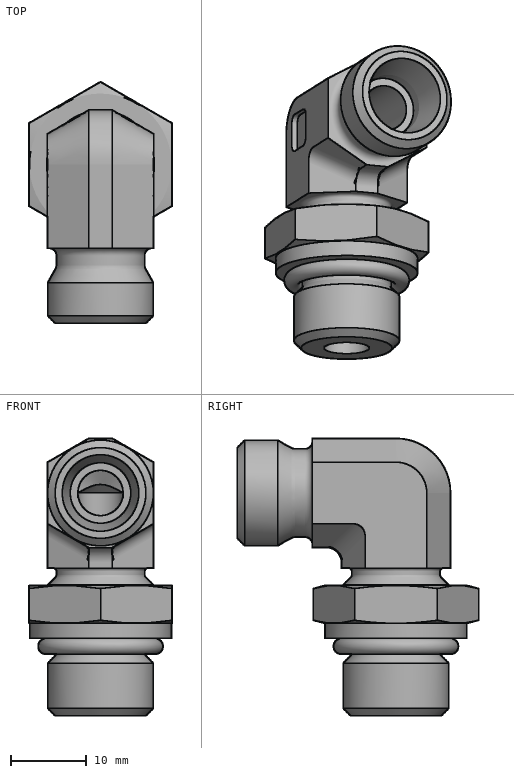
import cadquery as cq
import math


DEPTH_TOLERANCE = 0.05

BLOCK_HALF_WIDTH = 7.0
BLOCK_HALF_HEIGHT = 7.25
RIDGE_HALF_WIDTH = 1.55
RIDGE_SLOPE = math.radians(30)
FLANK_HALF_HEIGHT = BLOCK_HALF_HEIGHT - (BLOCK_HALF_WIDTH - RIDGE_HALF_WIDTH) * math.tan(RIDGE_SLOPE)
ARM_LENGTH = 11.1
LEG_LENGTH = 9.95
CROTCH_FILLET = 1.9

BADGE_SIZE = 5.0
BADGE_CENTRE = -0.5
BADGE_CORNER = 1.0
BADGE_DEPTH = 0.77

THREAD_RADIUS = 14.0 / 2
NECK_RADIUS = 11.7 / 2
END_CHAMFER = 1.0

OUTLET_ROOT_FILLET = 0.9
OUTLET_CONE_START = 13.6
OUTLET_CONE_END = 15.6
OUTLET_NECK_BLEND = 1.0
OUTLET_END = 21.0

GROOVE_RADIUS = 11.8 / 2
STUD_ROOT_FILLET = 0.4
STUD_CONE_START = 11.0
STUD_NECK_BLEND = 0.35
STUD_THREAD_START = 22.5
STUD_END = 29.5

BORE_RADIUS = 6.0 / 2
DRILL_HALF_ANGLE = math.radians(59)
TUBE_RADIUS = 8.0 / 2
TUBE_DEPTH = 7.0
MOUTH_RADIUS = 5.05
MOUTH_HALF_ANGLE = math.radians(12)

NUT_TOP = 12.23
NUT_HEX_BOTTOM = 17.25
NUT_BOTTOM = 19.25
HEX_ACROSS_FLATS = 19.0
COLLAR_RADIUS = 18.8 / 2
HEX_CHAMFER_ANGLE = math.radians(15)
NUT_MOUTH_CHAMFER = 0.15

RING_INNER_RADIUS = 12.37 / 2
RING_SECTION_RADIUS = 1.045


def along_arm(solid):
    """Turn a shape made about -Z so that it lies about -Y."""
    return solid.rotate((0, 0, 0), (1, 0, 0), -90)


def revolve_down(profile):
    """Revolve an (r, -z) profile about the Z axis."""
    return profile.close().revolve(360, (0, 0, 0), (0, 1, 0))


def blend_circle(solid, depth, radius):
    """Round the circular edge that lies at the given depth below the origin."""
    reach = THREAD_RADIUS
    near_depth = cq.selectors.BoxSelector(
        (-reach, -reach, -depth - DEPTH_TOLERANCE), (reach, reach, -depth + DEPTH_TOLERANCE)
    )
    return solid.edges(near_depth).fillet(radius)


def block_section():
    """Octagon shared by both limbs of the elbow."""
    w, h = BLOCK_HALF_WIDTH, BLOCK_HALF_HEIGHT
    f, r = FLANK_HALF_HEIGHT, RIDGE_HALF_WIDTH
    return [(w, -f), (w, f), (r, h), (-r, h), (-w, f), (-w, -f), (-r, -h), (r, -h)]


def elbow_block():
    section = block_section()
    arm = cq.Workplane("XZ").polyline(section).close().extrude(ARM_LENGTH)
    leg = cq.Workplane("XY").polyline(section).close().extrude(-LEG_LENGTH)
    upper_half = [(x, h) for x, h in section if h > 0]
    base = [(-BLOCK_HALF_WIDTH, 0), (BLOCK_HALF_WIDTH, 0)]
    heel = (
        cq.Workplane("XZ").polyline(base + upper_half).close()
        .revolve(90, (0, 0, 0), (-1, 0, 0))
    )
    block = arm.union(leg).union(heel)
    crotch = cq.selectors.BoxSelector(
        (-BLOCK_HALF_WIDTH, -BLOCK_HALF_HEIGHT - DEPTH_TOLERANCE, -BLOCK_HALF_HEIGHT - DEPTH_TOLERANCE),
        (BLOCK_HALF_WIDTH, -FLANK_HALF_HEIGHT, -FLANK_HALF_HEIGHT),
    )
    return block.edges(crotch).fillet(CROTCH_FILLET)


def outlet_end():
    """Necked, chamfered thread on the arm."""
    root = NECK_RADIUS + OUTLET_ROOT_FILLET
    neck_start = ARM_LENGTH + OUTLET_ROOT_FILLET
    profile = (
        cq.Workplane("XZ").moveTo(0, -ARM_LENGTH)
        .lineTo(root, -ARM_LENGTH)
        .radiusArc((NECK_RADIUS, -neck_start), -OUTLET_ROOT_FILLET)
        .lineTo(NECK_RADIUS, -OUTLET_CONE_START)
        .lineTo(THREAD_RADIUS, -OUTLET_CONE_END)
        .lineTo(THREAD_RADIUS, -OUTLET_END + END_CHAMFER)
        .lineTo(THREAD_RADIUS - END_CHAMFER, -OUTLET_END)
        .lineTo(0, -OUTLET_END)
    )
    end = revolve_down(profile)
    return along_arm(blend_circle(end, OUTLET_CONE_START, OUTLET_NECK_BLEND))


def stud_end():
    """Thread for the nut, O-ring groove and screw-in thread on the leg."""
    cone_rise = THREAD_RADIUS - NECK_RADIUS
    groove_end = STUD_THREAD_START - (THREAD_RADIUS - GROOVE_RADIUS)
    profile = (
        cq.Workplane("XZ").moveTo(0, -LEG_LENGTH)
        .lineTo(NECK_RADIUS + STUD_ROOT_FILLET, -LEG_LENGTH)
        .radiusArc((NECK_RADIUS, -LEG_LENGTH - STUD_ROOT_FILLET), -STUD_ROOT_FILLET)
        .lineTo(NECK_RADIUS, -STUD_CONE_START)
        .lineTo(THREAD_RADIUS, -STUD_CONE_START - cone_rise)
        .lineTo(THREAD_RADIUS, -NUT_BOTTOM)
        .lineTo(GROOVE_RADIUS, -NUT_BOTTOM)
        .lineTo(GROOVE_RADIUS, -groove_end)
        .lineTo(THREAD_RADIUS, -STUD_THREAD_START)
        .lineTo(THREAD_RADIUS, -STUD_END + END_CHAMFER)
        .lineTo(THREAD_RADIUS - END_CHAMFER, -STUD_END)
        .lineTo(0, -STUD_END)
    )
    end = blend_circle(revolve_down(profile), STUD_CONE_START, STUD_NECK_BLEND)
    return blend_circle(end, groove_end, STUD_NECK_BLEND)


def drilled_bore(length):
    """Bore from the axis crossing downwards, with a drill point above it."""
    point_height = BORE_RADIUS / math.tan(DRILL_HALF_ANGLE)
    profile = (
        cq.Workplane("XZ").moveTo(0, point_height)
        .lineTo(BORE_RADIUS, 0)
        .lineTo(BORE_RADIUS, -length)
        .lineTo(0, -length)
    )
    return revolve_down(profile)


def tube_socket():
    """Tapered mouth and tube seat in the outlet end."""
    taper_depth = (MOUTH_RADIUS - TUBE_RADIUS) / math.tan(MOUTH_HALF_ANGLE)
    profile = (
        cq.Workplane("XZ").moveTo(0, -OUTLET_END)
        .lineTo(MOUTH_RADIUS, -OUTLET_END)
        .lineTo(TUBE_RADIUS, -OUTLET_END + taper_depth)
        .lineTo(TUBE_RADIUS, -OUTLET_END + TUBE_DEPTH)
        .lineTo(0, -OUTLET_END + TUBE_DEPTH)
    )
    return along_arm(revolve_down(profile))


def badge_recess():
    return (
        cq.Workplane("YZ", origin=(-BLOCK_HALF_WIDTH, BADGE_CENTRE, BADGE_CENTRE))
        .rect(BADGE_SIZE, BADGE_SIZE).extrude(BADGE_DEPTH)
        .edges("|X").fillet(BADGE_CORNER)
    )


def make_elbow():
    elbow = elbow_block().union(outlet_end()).union(stud_end())
    elbow = elbow.cut(drilled_bore(STUD_END))
    elbow = elbow.cut(along_arm(drilled_bore(OUTLET_END)))
    return elbow.cut(tube_socket()).cut(badge_recess())


def make_lock_nut():
    """Hexagon with both rims chamfered, and a round collar below it."""
    corner_radius = HEX_ACROSS_FLATS / math.sqrt(3)
    rim_drop = (corner_radius - COLLAR_RADIUS) * math.tan(HEX_CHAMFER_ANGLE)
    hexagon = (
        cq.Workplane("XY", origin=(0, 0, -NUT_TOP))
        .polygon(6, 2 * corner_radius).extrude(NUT_TOP - NUT_HEX_BOTTOM)
        .rotate((0, 0, 0), (0, 0, 1), 90)
    )
    rim_profile = (
        cq.Workplane("XZ").moveTo(0, -NUT_TOP)
        .lineTo(COLLAR_RADIUS, -NUT_TOP)
        .lineTo(corner_radius, -NUT_TOP - rim_drop)
        .lineTo(corner_radius, -NUT_HEX_BOTTOM + rim_drop)
        .lineTo(COLLAR_RADIUS, -NUT_HEX_BOTTOM)
        .lineTo(0, -NUT_HEX_BOTTOM)
    )
    collar = (
        cq.Workplane("XY", origin=(0, 0, -NUT_BOTTOM))
        .circle(COLLAR_RADIUS).extrude(NUT_BOTTOM - NUT_HEX_BOTTOM)
    )
    nut = hexagon.intersect(revolve_down(rim_profile)).union(collar)
    nut = nut.faces(">Z").workplane(origin=(0, 0, 0)).circle(THREAD_RADIUS).cutThruAll()
    mouth = nut.faces(">Z").edges("%CIRCLE").edges(cq.selectors.RadiusNthSelector(0))
    return mouth.chamfer(NUT_MOUTH_CHAMFER)


def make_o_ring():
    """Ring lying in the groove, against the underside of the nut."""
    centre_radius = RING_INNER_RADIUS + RING_SECTION_RADIUS
    centre_height = -NUT_BOTTOM - RING_SECTION_RADIUS
    return (
        cq.Workplane("XZ").center(centre_radius, centre_height).circle(RING_SECTION_RADIUS)
        .revolve(360, (-centre_radius, 0, 0), (-centre_radius, 1, 0))
    )


elbow = make_elbow()
lock_nut = make_lock_nut()
o_ring = make_o_ring()

result = cq.Compound.makeCompound([elbow.val(), lock_nut.val(), o_ring.val()])